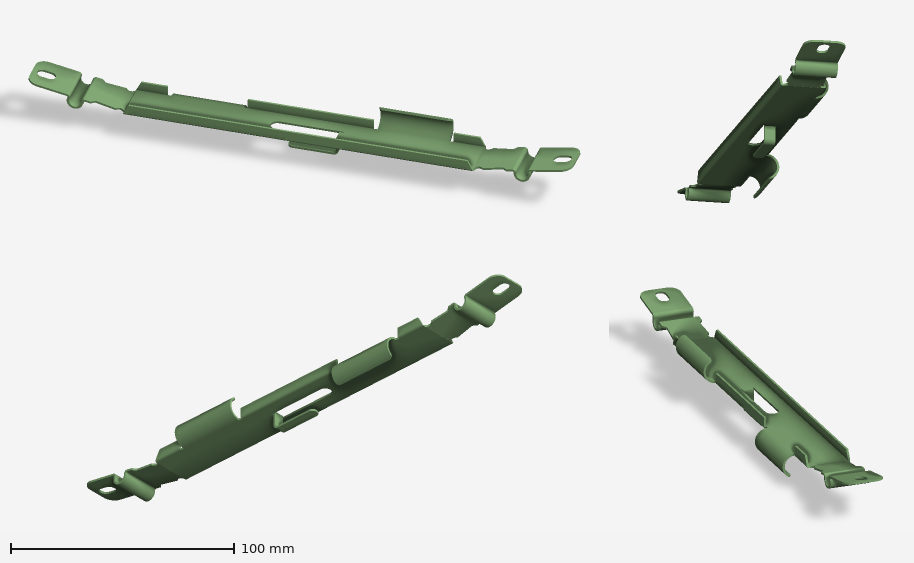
import cadquery as cq
import math

sheet = 1.0
total_length = 255.0

channel_half_length = 82.0
channel_width = 21.0
flange_height = 5.4
flange_end_setback = 2.8
bend_outer_radius = 1.0

arm_slope = 10.0
arm_overlap = 0.13
arm_width = 19.5
arm_corner_radius = 5.0
loop_distance = 22.7
loop_depth = 2.0
loop_radius = 3.3
loop_blend_radius = 1.0
mount_slot_length = 8.7
mount_slot_width = 5.4
mount_slot_distance = 39.5
waist_length = 15.5
waist_root_inset = 0.8
waist_step = 1.8
relief_radius = 2.0
relief_inset = 2.3

clip_center_x = 48.2
clip_length = 34.0
clip_gap = 1.8
clip_reach = 15.5
clip_mid_radius = 5.4
clip_tip_height = 11.0
clip_corner_radius = 2.0

slot_left = -15.8
slot_right = 17.5
slot_width = 6.0
tang_width = 5.0
tang_left = -7.5
tang_right = 16.5
tang_bottom = -8.7
tang_bend_radius = 2.3
tang_corner_radius = 2.3

half_sheet = sheet / 2
half_channel = channel_width / 2
half_arm = arm_width / 2


def box(x0, x1, y0, y1, z0, z1):
    """Axis-aligned block between two corners."""
    return cq.Workplane("XY").box(x1 - x0, y1 - y0, z1 - z0, centered=False).translate((x0, y0, z0))


def make_channel():
    """Shallow U channel whose flange ends lean inwards towards the top."""
    top = flange_height - half_sheet
    top_half_length = channel_half_length - flange_end_setback
    side = [
        (-channel_half_length, -half_sheet),
        (channel_half_length, -half_sheet),
        (top_half_length, top),
        (-top_half_length, top),
    ]
    channel = cq.Workplane("XZ").polyline(side).close().extrude(half_channel, both=True)
    channel = channel.edges("|X and <Z").fillet(bend_outer_radius)
    inner = half_channel - sheet
    trough = box(-total_length, total_length, -inner, inner, half_sheet, top)
    channel = channel.cut(trough)

    half_opening = clip_length / 2 + clip_gap
    for x in (-clip_center_x, clip_center_x):
        opening = box(x - half_opening, x + half_opening, inner, half_channel, -half_sheet, top)
        channel = channel.cut(opening)
    return channel


def make_clip():
    """C-shaped lip, centred on X = 0, leaving the plate edge and curling upwards."""
    inner_radius = clip_mid_radius - half_sheet
    outer_radius = clip_mid_radius + half_sheet
    center_y = clip_reach - outer_radius
    tip_angle = math.asin((clip_tip_height - clip_mid_radius) / outer_radius)
    root_angle = -math.pi / 2

    def curl_point(radius, angle):
        return (center_y + radius * math.cos(angle), clip_mid_radius + radius * math.sin(angle))

    curl = (
        cq.Workplane("YZ")
        .moveTo(*curl_point(outer_radius, root_angle))
        .threePointArc(curl_point(outer_radius, 0), curl_point(outer_radius, tip_angle))
        .lineTo(*curl_point(inner_radius, tip_angle))
        .threePointArc(curl_point(inner_radius, 0), curl_point(inner_radius, root_angle))
        .close()
        .extrude(clip_length / 2, both=True)
    )
    for end in (-1, 1):
        tip_corner = (end * clip_length / 2, *curl_point(clip_mid_radius, tip_angle))
        curl = curl.edges(cq.selectors.NearestToPointSelector(tip_corner)).fillet(clip_corner_radius)

    tab_start = half_channel - 3 * sheet
    tab = box(-clip_length / 2, clip_length / 2, tab_start, center_y, -half_sheet, half_sheet)
    return curl.union(tab)


def make_arm_profile(length):
    """Side profile of one arm laid flat along +X, with the open loop hanging below it."""
    blend_drop = loop_depth - loop_blend_radius
    blend_x = math.sqrt((loop_radius + loop_blend_radius) ** 2 - blend_drop**2)
    lean = math.atan2(blend_drop, blend_x)
    blend_angles = (math.pi / 2, (1.5 * math.pi + lean) / 2, math.pi + lean)

    def face_points(offset):
        """Arc points of one sheet face, in order of X, at this height above the mid-plane."""
        blend = loop_blend_radius + offset
        right = [
            (blend_x + blend * math.cos(angle), blend * math.sin(angle) - loop_blend_radius)
            for angle in blend_angles
        ]
        left = [(-x, z) for x, z in right]
        bottom = (0, -loop_depth - loop_radius + offset)
        return [(loop_distance + x, z) for x, z in left + [bottom] + right[::-1]]

    def follow(path, points):
        """Run straight to the first point, then along the three arcs of the loop."""
        path = path.lineTo(*points[0])
        for start in (0, 2, 4):
            path = path.threePointArc(points[start + 1], points[start + 2])
        return path

    path = cq.Workplane("XZ").moveTo(0, half_sheet)
    path = follow(path, face_points(half_sheet))
    path = path.lineTo(length, half_sheet).lineTo(length, -half_sheet)
    path = follow(path, face_points(-half_sheet)[::-1])
    return path.lineTo(0, -half_sheet).close().extrude(half_arm, both=True)


def make_arm():
    """Arm on the +X end, tilted up about its lower root edge and sunk slightly into the plate end."""
    tilt = math.radians(arm_slope)
    root_x = channel_half_length - arm_overlap
    length = (total_length / 2 - root_x) / math.cos(tilt)
    arm = make_arm_profile(length)
    arm = arm.edges("|Z and >X").fillet(arm_corner_radius)

    depth = 2 * sheet
    slot = cq.Workplane("XY").center(mount_slot_distance, 0)
    slot = slot.slot2D(mount_slot_length, mount_slot_width).extrude(depth, both=True)
    arm = arm.cut(slot)

    waist = (
        cq.Workplane("XY")
        .moveTo(0, half_arm)
        .lineTo(0, half_arm - waist_root_inset)
        .lineTo(waist_length - waist_step, half_arm - waist_step)
        .lineTo(waist_length, half_arm)
        .close()
        .extrude(depth, both=True)
    )
    relief = (
        cq.Workplane("XY")
        .center(relief_radius, half_arm - relief_inset + relief_radius)
        .circle(relief_radius)
        .extrude(depth, both=True)
    )
    notch = waist.union(relief)
    arm = arm.cut(notch).cut(notch.mirror("XZ"))

    arm = arm.translate((0, 0, half_sheet)).rotate((0, 0, 0), (0, 1, 0), -arm_slope)
    return arm.translate((root_x, 0, -half_sheet))


def make_slot():
    """Opening in the plate with a round left end and a square right end."""
    radius = slot_width / 2
    slot = box(slot_left + radius, slot_right, -radius, radius, -sheet, sheet)
    round_end = cq.Workplane("XY").center(slot_left + radius, 0).circle(radius).extrude(sheet, both=True)
    return slot.union(round_end)


def make_tang():
    """L-shaped tongue bent down from the right end of the slot."""
    inner_radius = tang_bend_radius - sheet
    half_tang = tang_width / 2
    leg_inner = tang_right - sheet
    tang = box(tang_left, tang_right, -half_tang, half_tang, tang_bottom, half_sheet)
    tang = tang.edges("|Y and >X and <Z").fillet(tang_bend_radius)
    hollow = box(tang_left, leg_inner, -half_tang, half_tang, tang_bottom + sheet, half_sheet)
    hollow = hollow.edges("|Y and >X and <Z").fillet(inner_radius)
    tang = tang.cut(hollow).edges("|Z and <X").fillet(tang_corner_radius)
    bridge = box(leg_inner, slot_right + sheet, -half_tang, half_tang, -half_sheet, half_sheet)
    return tang.union(bridge)


channel = make_channel().cut(make_slot())
upper_clip = make_clip().translate((clip_center_x, 0, 0))
lower_clip = make_clip().mirror("XY").translate((-clip_center_x, 0, 0))
right_arm = make_arm()
left_arm = right_arm.mirror("YZ")

result = channel.union(make_tang())
for piece in (upper_clip, lower_clip, right_arm, left_arm):
    result = result.union(piece)